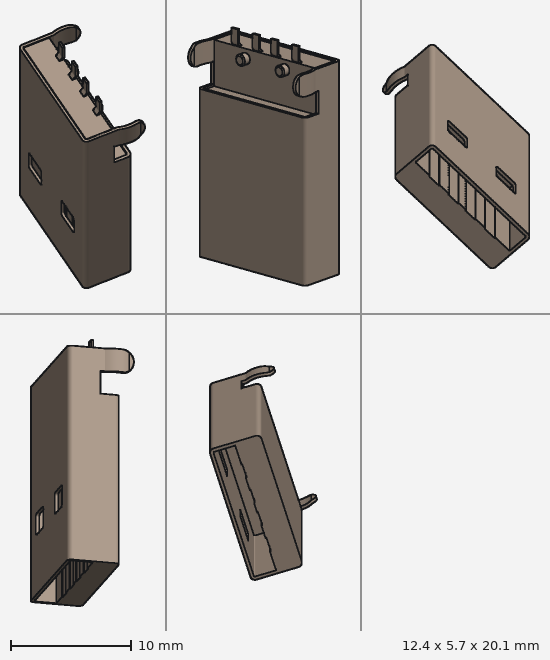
import cadquery as cq
import math

shell_width = 11.99
shell_depth = 4.5
shell_height = 18.74
shell_wall = 0.3
corner_radius = 0.4
inner_corner_radius = corner_radius - shell_wall

notch_front = 2.82
notch_bottom = 14.75
tab_height = 2.0
tab_tip = 5.7
tab_bulge = 0.191
bulge_start = 3.2
bulge_end = 5.28

core_rear = 2.76
core_top = shell_height - 0.1
core_step = notch_bottom - 0.18

peg_diameter = 1.0
peg_x = 2.2
peg_z = 17.77
peg_end = 3.5
peg_chamfer = 0.12

pin_positions = (-3.37, -1.03, 1.03, 3.37)
pin_width = 0.69
pin_thickness = 0.2
pin_rear = 2.82
pin_top = 20.15
pin_bend_z = 18.98
pin_bend_radius = 0.12
pin_bend_angle = 45
pin_foot_length = 0.5

tongue_front = 2.22
cavity_top = 11.69

groove_width = 1.19
groove_depth = 0.08

window_x = 2.95
window_z = 6.17
window_width = 2.34
window_height = 1.87
window_radius = 0.25


def upright_block(width, front, rear, bottom, top):
    """Block centred on X, between the given Y and Z limits."""
    block = cq.Workplane("XY").box(width, rear - front, top - bottom, centered=(True, False, False))
    return block.translate((0, front, bottom))


def make_shell():
    tube = upright_block(shell_width, 0, shell_depth, 0, shell_height).edges("|Z").fillet(corner_radius)
    bore = upright_block(
        shell_width - 2 * shell_wall, shell_wall, shell_depth - shell_wall, 0, shell_height
    ).edges("|Z").fillet(inner_corner_radius)
    cut_away = upright_block(shell_width, notch_front, shell_depth, notch_bottom, shell_height)
    return tube.cut(bore).cut(cut_away)


def make_tab():
    """Right-hand tab: an extension of the side wall that bows outward and ends in a half round."""
    outer = shell_width / 2
    inner = outer - shell_wall
    bulge_middle = (bulge_start + bulge_end) / 2
    tab_bottom = shell_height - tab_height
    strip = (
        cq.Workplane("XY", origin=(0, 0, tab_bottom))
        .moveTo(outer, notch_front)
        .lineTo(outer, bulge_start)
        .threePointArc((outer + tab_bulge, bulge_middle), (outer, bulge_end))
        .lineTo(outer, tab_tip)
        .lineTo(inner, tab_tip)
        .lineTo(inner, bulge_end)
        .threePointArc((inner + tab_bulge, bulge_middle), (inner, bulge_start))
        .lineTo(inner, notch_front)
        .close()
        .extrude(tab_height)
    )
    tip_radius = tab_height / 2
    round_start = tab_tip - tip_radius
    side_outline = (
        cq.Workplane("YZ")
        .moveTo(notch_front, tab_bottom)
        .lineTo(round_start, tab_bottom)
        .threePointArc((tab_tip, tab_bottom + tip_radius), (round_start, shell_height))
        .lineTo(notch_front, shell_height)
        .close()
        .extrude(shell_width)
    )
    return strip.intersect(side_outline)


def make_core():
    core_width = shell_width - 2 * shell_wall
    lower = upright_block(core_width, shell_wall, shell_depth - shell_wall, 0, core_step)
    lower = lower.edges("|Z").fillet(inner_corner_radius)
    upper = upright_block(core_width, shell_wall, core_rear, 0, core_top)
    upper = upper.edges("|Z and <Y").fillet(inner_corner_radius)
    cavity = upright_block(core_width, shell_wall, tongue_front, 0, cavity_top)
    return lower.union(upper).cut(cavity)


def make_groove(x):
    groove = upright_block(groove_width, tongue_front, tongue_front + groove_depth, 0, cavity_top)
    return groove.translate((x, 0, 0))


def make_peg(x):
    peg = (
        cq.Workplane("XZ", origin=(x, core_rear, peg_z))
        .circle(peg_diameter / 2)
        .extrude(core_rear - peg_end)
    )
    return peg.faces(">Y").chamfer(peg_chamfer)


def make_pin(x):
    """Flat pin: upright blade that bends forward into a slanted foot set in the top of the core."""
    pin_front = pin_rear - pin_thickness
    center_y = pin_front - pin_bend_radius
    angle = math.radians(pin_bend_angle)

    def bend_point(radius, turn):
        return center_y + radius * math.cos(turn), pin_bend_z - radius * math.sin(turn)

    def foot_end(radius):
        y, z = bend_point(radius, angle)
        return y - pin_foot_length * math.sin(angle), z - pin_foot_length * math.cos(angle)

    rear_radius = pin_bend_radius + pin_thickness
    return (
        cq.Workplane("YZ", origin=(x, 0, 0))
        .moveTo(pin_front, pin_top)
        .lineTo(pin_rear, pin_top)
        .lineTo(pin_rear, pin_bend_z)
        .threePointArc(bend_point(rear_radius, angle / 2), bend_point(rear_radius, angle))
        .lineTo(*foot_end(rear_radius))
        .lineTo(*foot_end(pin_bend_radius))
        .lineTo(*bend_point(pin_bend_radius, angle))
        .threePointArc(bend_point(pin_bend_radius, angle / 2), (pin_front, pin_bend_z))
        .close()
        .extrude(pin_width / 2, both=True)
    )


def make_window(x):
    window = cq.Workplane("XY").box(window_width, shell_wall, window_height)
    return window.edges("|Y").fillet(window_radius).translate((x, shell_wall / 2, window_z))


right_tab = make_tab()
result = make_shell().union(make_core()).union(right_tab).union(right_tab.mirror("YZ"))
for pin_x in pin_positions:
    result = result.union(make_pin(pin_x)).cut(make_groove(pin_x))
for side in (-1, 1):
    result = result.union(make_peg(side * peg_x))
    result = result.cut(make_window(side * window_x))